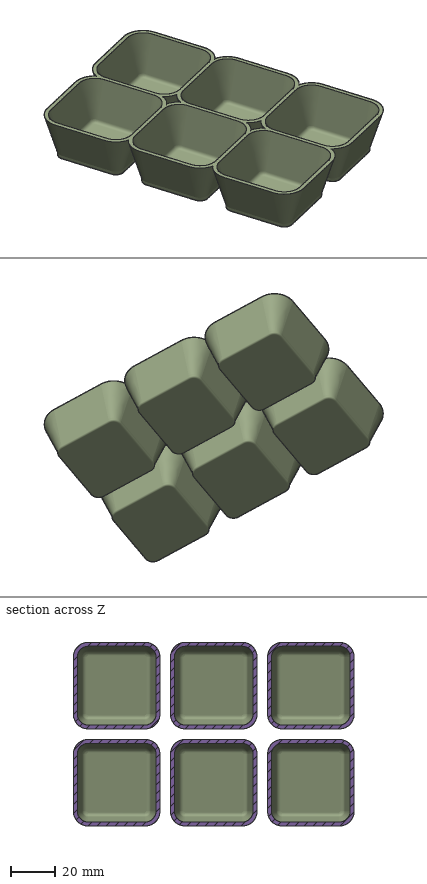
import cadquery as cq
import math

tray_length = 134.0
tray_height = 22.0
columns = 3
rows = 2
cup_pitch = 44.0
cup_width = tray_length - (columns - 1) * cup_pitch

rim_corner_radius = 10.2
wall_inset = 6.0
foot_height = 2.0
foot_fillet = 1.0
wall_height = tray_height - foot_height
wall_slope = math.degrees(math.atan(wall_inset / wall_height))

rim_width = 2.0
floor_thickness = foot_height
floor_fillet = 2.0
pocket_width = cup_width - 2 * rim_width
pocket_corner_radius = rim_corner_radius - rim_width

cup_centers = [
    ((column - (columns - 1) / 2) * cup_pitch, (row - (rows - 1) / 2) * cup_pitch)
    for column in range(columns)
    for row in range(rows)
]


def rounded_square(width, corner_radius):
    return cq.Sketch().rect(width, width).vertices().fillet(corner_radius)


def sloping_block(width, corner_radius, depth):
    """Rounded block hanging from the rim plane, narrowing downwards at the wall slope."""
    outline = rounded_square(width, corner_radius)
    return (
        cq.Workplane("XY", origin=(0, 0, tray_height))
        .placeSketch(outline)
        .extrude(-depth, taper=wall_slope)
    )


def cup_body():
    """Solid cup: sloping walls standing on a straight foot with a rounded bottom edge."""
    foot_outline = rounded_square(cup_width - 2 * wall_inset, rim_corner_radius - wall_inset)
    foot = (
        cq.Workplane("XY")
        .placeSketch(foot_outline)
        .extrude(foot_height)
        .faces("<Z")
        .edges()
        .fillet(foot_fillet)
    )
    return sloping_block(cup_width, rim_corner_radius, wall_height).union(foot)


def cup_pocket():
    """Inner volume of a cup, rounded where the walls meet the floor."""
    depth = tray_height - floor_thickness
    return (
        sloping_block(pocket_width, pocket_corner_radius, depth)
        .faces("<Z")
        .edges()
        .fillet(floor_fillet)
    )


body = cup_body()
pocket = cup_pocket()
tray = cq.Workplane("XY")
for center_x, center_y in cup_centers:
    tray = tray.union(body.translate((center_x, center_y, 0)))
for center_x, center_y in cup_centers:
    tray = tray.cut(pocket.translate((center_x, center_y, 0)))

result = tray